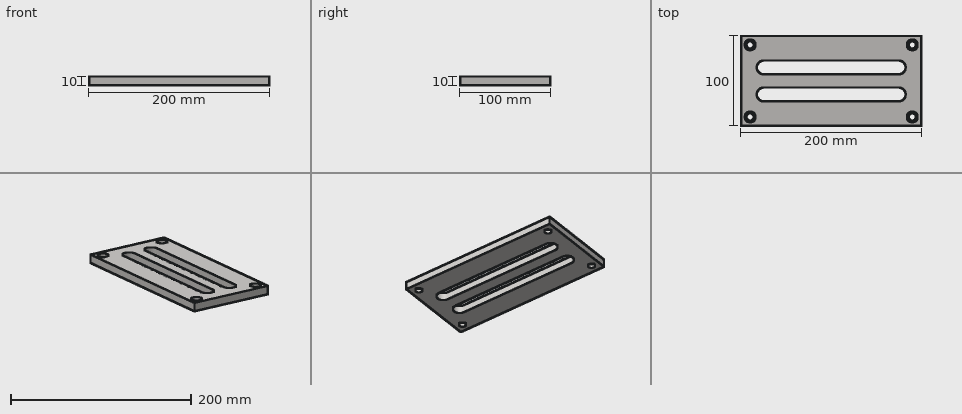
import cadquery as cq

length = 200.0
width = 100.0
thickness = 10.0

hole_inset = 10.0
hole_diameter = 8.0
counterbore_diameter = 12.0
counterbore_depth = 5.0

slot_length = 165.0
slot_width = 15.0
slot_spacing = 30.0

plate = cq.Workplane("XY").box(length, width, thickness)

plate = (
    plate.faces(">Z")
    .workplane()
    .rect(length - 2 * hole_inset, width - 2 * hole_inset, forConstruction=True)
    .vertices()
    .cboreHole(hole_diameter, counterbore_diameter, counterbore_depth)
)

result = (
    plate.faces(">Z")
    .workplane(origin=(0, 0, 0))
    .pushPoints([(0, -slot_spacing / 2), (0, slot_spacing / 2)])
    .slot2D(slot_length, slot_width)
    .cutThruAll()
)